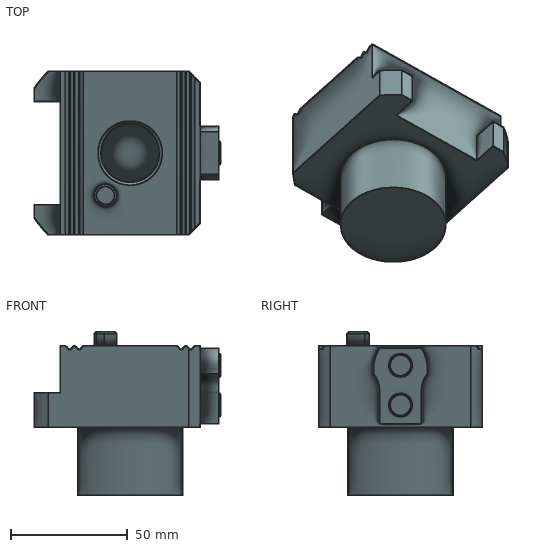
import cadquery as cq
import math

body_length = 59.9
body_width = 70.0
body_height = 35.0
corner_chamfer = 4.95

lug_reach = 41.05
lug_height = 14.9
lug_gap = 44.0
lug_corner_radius = 49.5

shank_diameter = 45.0
shank_length = 29.1

bore_diameter = 25.0
bore_depth = body_height
bore_mouth_diameter = 27.5
bore_mouth_depth = 2.15

pin_diameter = 9.7
pin_flank_radius = 10.0
pin_flank_distance = 4.6
pin_height = 6.0
pin_chamfer = 0.95
pin_x = -10.55
pin_y = -18.1

groove_insets = (4.1, 8.15)
groove_depth = 1.5
groove_floor = 0.55

clamp_thickness = 8.1
clamp_bottom = 1.6
clamp_top = 33.9
clamp_half_width = 11.5
clamp_top_half_width = 9.0
clamp_shoulder_top = 25.15
clamp_shoulder_bottom = 23.0
clamp_neck_top = 15.25
clamp_neck_radius = 12.8

screw_diameter = 10.0
screw_height = 0.8
screw_chamfer = 0.55
screw_levels = (9.6, 26.6)

half_length = body_length / 2
half_width = body_width / 2


def make_body():
    """Rectangular block with two chamfered vertical corners on +X."""
    block = cq.Workplane("XY").box(body_length, body_width, body_height, centered=(True, True, False))
    return block.edges("|Z and >X").chamfer(corner_chamfer)


def make_lugs():
    """Two feet on the -X side, their outer corners rounded about the shank axis."""
    bar = cq.Workplane("XY").box(lug_reach, body_width, lug_height, centered=(False, True, False))
    gap_depth = lug_reach - half_length
    gap = cq.Workplane("XY").box(gap_depth, lug_gap, lug_height, centered=(False, True, False))
    rounding = cq.Workplane("XY").circle(lug_corner_radius).extrude(lug_height)
    lugs = bar.translate((-lug_reach, 0, 0)).cut(gap.translate((-lug_reach, 0, 0)))
    return lugs.intersect(rounding)


def make_groove(x):
    """Flat-bottomed 90 degree groove running along Y across the top face."""
    half_floor = groove_floor / 2
    half_mouth = half_floor + groove_depth
    floor_z = body_height - groove_depth
    profile = [
        (x - half_mouth, body_height),
        (x - half_floor, floor_z),
        (x + half_floor, floor_z),
        (x + half_mouth, body_height),
    ]
    return cq.Workplane("XZ").polyline(profile).close().extrude(half_width, both=True)


def make_bore():
    """Blind bore with a conical mouth."""
    bore_radius = bore_diameter / 2
    mouth_radius = bore_mouth_diameter / 2
    profile = [
        (0, body_height - bore_depth),
        (bore_radius, body_height - bore_depth),
        (bore_radius, body_height - bore_mouth_depth),
        (mouth_radius, body_height),
        (0, body_height),
    ]
    return cq.Workplane("XZ").polyline(profile).close().revolve(360, (0, 0), (0, 1))


def make_chamfered_cylinder(radius, x=0):
    """Cylinder as tall as the pin, chamfered around its top edge."""
    cylinder = cq.Workplane("XY").circle(radius).extrude(pin_height)
    return cylinder.faces(">Z").chamfer(pin_chamfer).translate((x, 0, 0))


def make_pin():
    """Locating pin, relieved by shallow arcs on the flanks facing toward and away from the bore."""
    pin = make_chamfered_cylinder(pin_diameter / 2)
    flank_offset = pin_flank_radius - pin_flank_distance
    for side in (-1, 1):
        pin = pin.intersect(make_chamfered_cylinder(pin_flank_radius, side * flank_offset))
    bore_direction = math.degrees(math.atan2(pin_y, pin_x))
    return pin.rotate((0, 0, 0), (0, 0, 1), bore_direction).translate((pin_x, pin_y, body_height))


def make_clamp():
    """Clamp block: a head with curved flanks above a narrower neck with concave shoulders."""
    head_rise = clamp_top - clamp_shoulder_top
    head_run = clamp_half_width - clamp_top_half_width
    head_radius = (head_rise**2 + head_run**2) / (2 * head_run)
    head_mid_rise = head_rise / 2
    head_mid_y = clamp_half_width - head_radius + math.sqrt(head_radius**2 - head_mid_rise**2)
    head_mid = (head_mid_y, clamp_shoulder_top + head_mid_rise)

    shoulder_rise = clamp_shoulder_bottom - clamp_neck_top
    shoulder_mid_rise = shoulder_rise / 2
    shoulder_run = clamp_neck_radius - math.sqrt(clamp_neck_radius**2 - shoulder_rise**2)
    shoulder_mid_run = clamp_neck_radius - math.sqrt(clamp_neck_radius**2 - shoulder_mid_rise**2)
    neck_half_width = clamp_half_width - shoulder_run
    shoulder_mid = (neck_half_width + shoulder_mid_run, clamp_neck_top + shoulder_mid_rise)

    half = (
        cq.Workplane("YZ", origin=(half_length, 0, 0))
        .moveTo(0, clamp_bottom)
        .lineTo(neck_half_width, clamp_bottom)
        .lineTo(neck_half_width, clamp_neck_top)
        .threePointArc(shoulder_mid, (clamp_half_width, clamp_shoulder_bottom))
        .lineTo(clamp_half_width, clamp_shoulder_top)
        .threePointArc(head_mid, (clamp_top_half_width, clamp_top))
        .lineTo(0, clamp_top)
        .close()
        .extrude(clamp_thickness)
    )
    return half.union(half.mirror("XZ"))


def make_screw_head(z):
    head = cq.Workplane("YZ").circle(screw_diameter / 2).extrude(screw_height)
    return head.faces(">X").chamfer(screw_chamfer).translate((half_length + clamp_thickness, 0, z))


shank = cq.Workplane("XY").circle(shank_diameter / 2).extrude(-shank_length)

result = make_body().union(make_lugs()).union(shank).cut(make_bore())
for inset in groove_insets:
    for side in (-1, 1):
        result = result.cut(make_groove(side * (half_length - inset)))
result = result.union(make_pin()).union(make_clamp())
for level in screw_levels:
    result = result.union(make_screw_head(level))